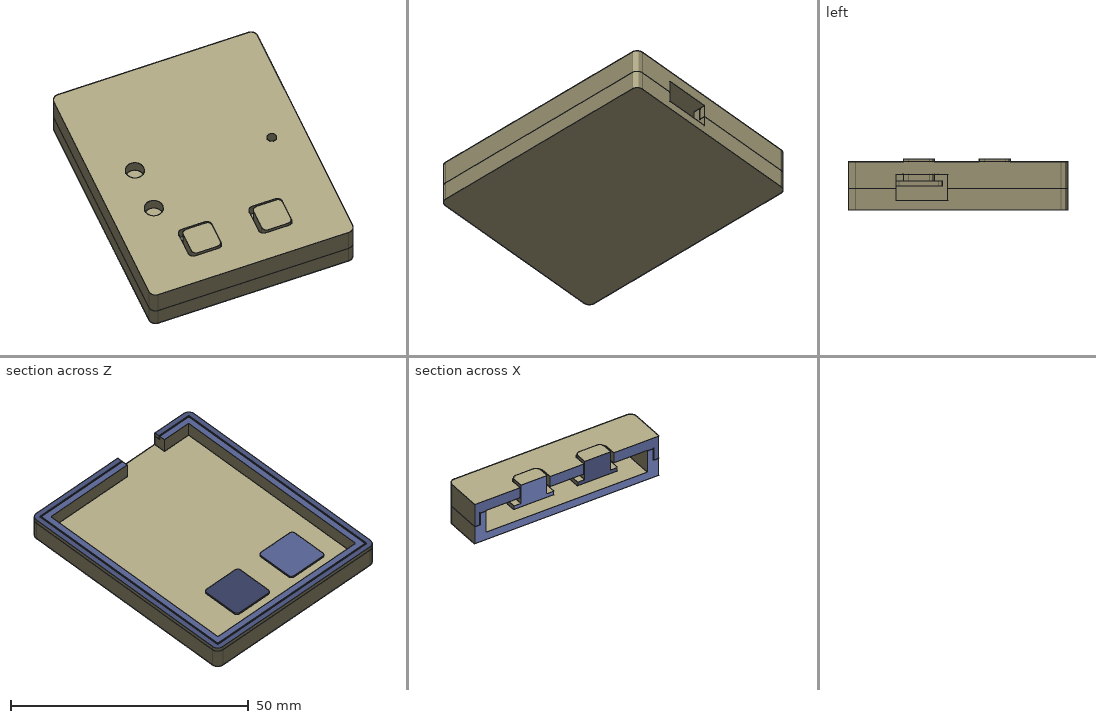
import cadquery as cq

length = 56.3
width = 46.3
height = 10.2
corner_radius = 1.5
split_height = 4.5
floor_top = 2.0
ceiling = 7.5
wall = 3.0
skirt = 1.3
lip_clearance = 0.15

window_width = 10.8
window_y = 7.65

total_height = 10.75
opening_size = 7.5
opening_radius = 1.1
opening_x = 17.95
button_pitch = 16.0
button_ys = (-button_pitch / 2, button_pitch / 2)
button_size = 6.6
button_radius = 1.05
button_shift = 0.3
flange_size = 10.0
flange_radius = 0.85
flange_bottom = 5.05
flange_thickness = 1.0

small_hole_diameter = 2.0
small_hole_x = -0.9
small_hole_y = 15.95
large_hole_diameter = 4.0
large_hole_pitch = 10.65
large_hole_mid_x = 1.6
large_hole_y = -14.0


def block(size_x, size_y, bottom, top, radius=0.0):
    """Upright block centred on the Z axis, with optionally rounded vertical edges."""
    body = cq.Workplane("XY").workplane(offset=bottom).rect(size_x, size_y).extrude(top - bottom)
    return body.edges("|Z").fillet(radius) if radius else body


def outer_block(bottom, top):
    """Block with the rounded outline of the enclosure."""
    return block(length, width, bottom, top, corner_radius)


def inner_block(inset, bottom, top):
    """Sharp-cornered block whose sides lie inward of the enclosure by the inset."""
    return block(length - 2 * inset, width - 2 * inset, bottom, top)


def cut_window(body):
    """Open the -X wall for the connector."""
    window = block(2 * wall, window_width, floor_top, ceiling)
    return body.cut(window.translate((-length / 2, window_y, 0)))


def make_base():
    """Tray whose lip rises inside the cover skirt up to the ceiling."""
    tray = outer_block(0, split_height)
    lip = inner_block(skirt + lip_clearance, split_height, ceiling)
    cavity = inner_block(wall, floor_top, ceiling)
    return cut_window(tray.union(lip).cut(cavity))


def round_hole(diameter, x, y):
    """Cylinder through the lid, used as a cutter."""
    lid_bottom = cq.Workplane("XY").workplane(offset=ceiling)
    return lid_bottom.center(x, y).circle(diameter / 2).extrude(height - ceiling)


def make_cover():
    """Lid with a skirt around the base lip, button openings and round holes."""
    lid = outer_block(split_height, height)
    cover = lid.cut(inner_block(skirt, split_height, ceiling))
    for y in button_ys:
        opening = block(opening_size, opening_size, ceiling, height, opening_radius)
        cover = cover.cut(opening.translate((opening_x, y, 0)))
    cover = cover.cut(round_hole(small_hole_diameter, small_hole_x, small_hole_y))
    for side in (-1, 1):
        x = large_hole_mid_x + side * large_hole_pitch / 2
        cover = cover.cut(round_hole(large_hole_diameter, x, large_hole_y))
    return cut_window(cover)


def make_button(y):
    """Square push button with a retaining flange below the lid."""
    flange_top = flange_bottom + flange_thickness
    flange = block(flange_size, flange_size, flange_bottom, flange_top, flange_radius)
    stem = block(button_size, button_size, flange_top, total_height, button_radius)
    return flange.union(stem).translate((opening_x + button_shift, y + button_shift, 0))


base = make_base()
cover = make_cover()
buttons = [make_button(y) for y in button_ys]

result = cq.Compound.makeCompound([base.val(), cover.val(), *[button.val() for button in buttons]])